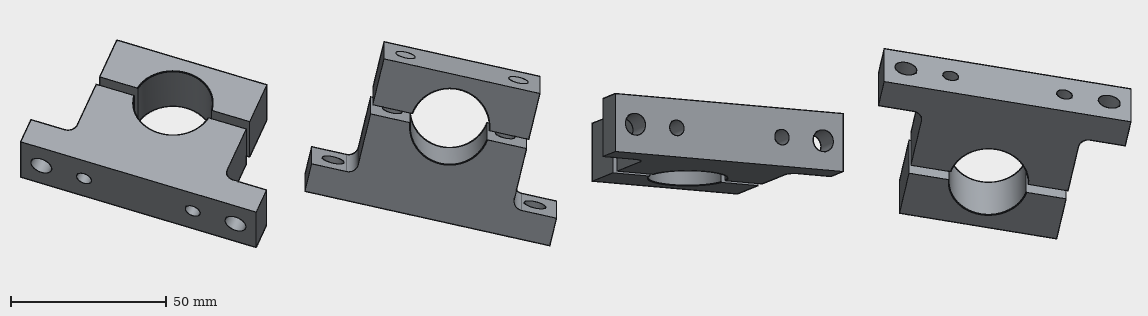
import cadquery as cq

length = 81.0
depth = 49.2
height = 19.0

block_width = 51.6
foot_thickness = 9.55
foot_fillet = 3.15
cap_depth = 15.9
gap = 3.15
base_depth = depth - cap_depth - gap
cap_start = depth - cap_depth

bore_diameter = 25.4
bore_chamfer = 0.25
bore_y = base_depth + gap / 2

mount_hole_diameter = 7.1
mount_spacing = 66.7
bolt_diameter = 6.4
bolt_spacing = 37.3
bolt_start = 12.15
pilot_diameter = 5.1
bolt_positions = (-bolt_spacing / 2, bolt_spacing / 2)
mount_positions = (-mount_spacing / 2, mount_spacing / 2)


def slab(width, y_start, y_end):
    """Full-height box centred on X = 0."""
    return (
        cq.Workplane("XY")
        .box(width, y_end - y_start, height, centered=(True, False, True))
        .translate((0, y_start, 0))
    )


def rod_along_y(diameter, x, y_start, y_end):
    """Cylinder parallel to Y at mid-height."""
    radius = diameter / 2
    origin = cq.Vector(x, y_start, 0)
    return cq.Workplane(obj=cq.Solid.makeCylinder(radius, y_end - y_start, origin, cq.Vector(0, 1, 0)))


def make_bore():
    """Shaft bore cutter, flared at both ends to chamfer the rims."""
    radius = bore_diameter / 2
    rim_radius = radius + bore_chamfer
    half_height = height / 2
    straight_half = half_height - bore_chamfer
    profile = [
        (0, -half_height),
        (rim_radius, -half_height),
        (radius, -straight_half),
        (radius, straight_half),
        (rim_radius, half_height),
        (0, half_height),
    ]
    return cq.Workplane("XZ").polyline(profile).close().revolve(360, (0, 0), (0, 1)).translate((0, bore_y, 0))


def make_bolt(x):
    """Plain bolt running from inside the base to the back of the cap."""
    return rod_along_y(bolt_diameter, x, bolt_start, depth)


def make_base():
    """Lower clamp half with its mounting foot."""
    base = slab(length, 0, foot_thickness).union(slab(block_width, 0, base_depth))
    corner_box = cq.selectors.BoxSelector(
        (-block_width / 2 - foot_fillet, foot_thickness - foot_fillet, -height),
        (block_width / 2 + foot_fillet, foot_thickness + foot_fillet, height),
    )
    base = base.edges("|Z").edges(corner_box).fillet(foot_fillet)
    base = base.cut(make_bore())
    for x in mount_positions:
        base = base.cut(rod_along_y(mount_hole_diameter, x, 0, foot_thickness))
    for x in bolt_positions:
        base = base.cut(rod_along_y(pilot_diameter, x, 0, bolt_start))
        base = base.cut(make_bolt(x))
    return base


def make_cap():
    """Upper clamp half with its bolt holes."""
    cap = slab(block_width, cap_start, depth).cut(make_bore())
    for x in bolt_positions:
        cap = cap.cut(make_bolt(x))
    return cap


base = make_base()
cap = make_cap()
bolts = [make_bolt(x) for x in bolt_positions]

result = cq.Compound.makeCompound([base.solids().val(), cap.solids().val(), *[bolt.val() for bolt in bolts]])